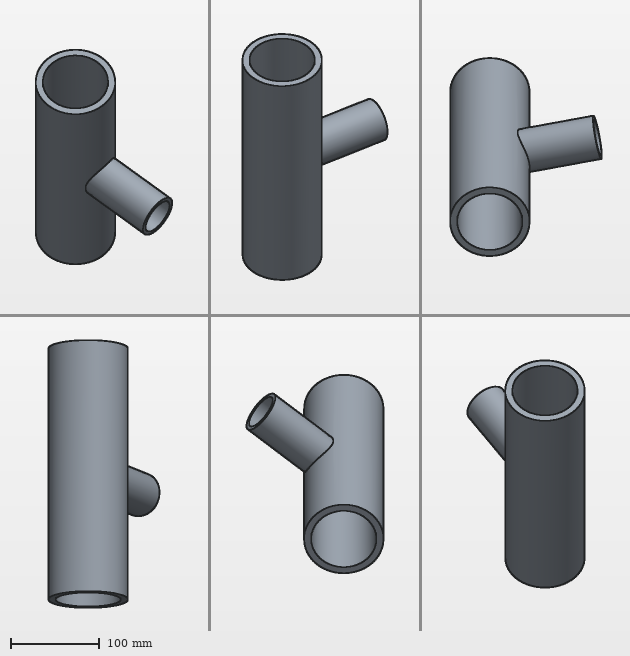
import cadquery as cq

main_length = 290.0
main_diameter = 90.0
main_wall = 8.0
main_bore = main_diameter - 2 * main_wall

branch_diameter = 50.0
branch_wall = 4.5
branch_bore = branch_diameter - 2 * branch_wall
overall_width = 169.0
branch_reach = overall_width - main_diameter / 2


def main_cylinder(diameter):
    """Full-length cylinder on the main pipe axis."""
    return cq.Workplane("XY").circle(diameter / 2).extrude(main_length / 2, both=True)


def branch_cylinder(diameter):
    """Cylinder from the main axis to the open end of the branch."""
    return cq.Workplane("YZ").circle(diameter / 2).extrude(branch_reach)


outer_body = main_cylinder(main_diameter).union(branch_cylinder(branch_diameter))
result = outer_body.cut(main_cylinder(main_bore)).cut(branch_cylinder(branch_bore))